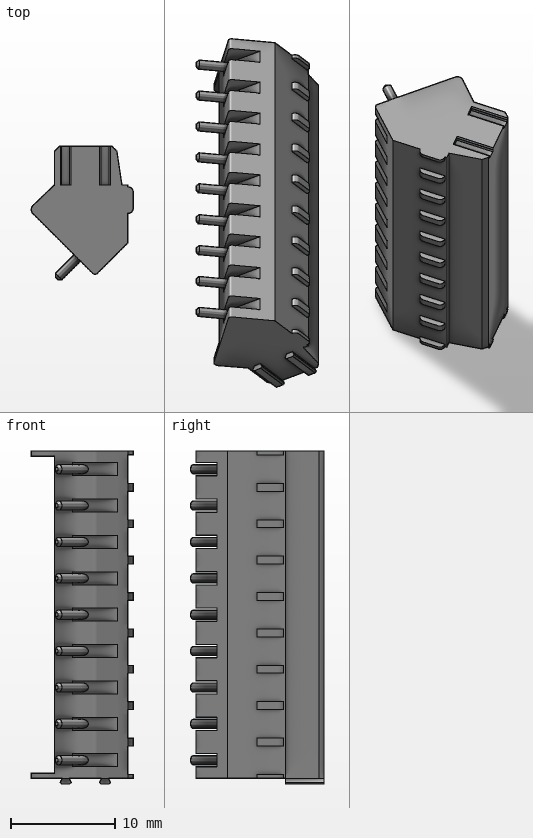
import cadquery as cq
import math

depth = 12.83
height = 32.0

pin_count = 9
body_bottom = 0.55
body_height = height - body_bottom
pitch = body_height / pin_count

tip_x = 6.15
tip_y = 0.4
tip_radius = 0.32
corner_radius = 0.55
corner_x = -corner_radius * (math.sqrt(2) - 1)
corner_y = tip_y + tip_x - corner_x
right_x = 9.3
right_bevel_y = tip_y + right_x - tip_x
plug_left_x = 2.25
shoulder_y = 9.12
plug_root_x = 8.75
plug_end_x = 8.25
plug_chamfer = 0.48

flange_thickness = 0.5

key_reach = 0.5
key_front_y = 6.37
key_back_y = 8.93
key_width = 0.77

slot_width = 1.25
slot_back_y = 2.53

pin_diameter = 0.9
pin_chamfer = 0.25
pin_end_x = 2.45
pin_end_y = 0.13
pin_length = 4.48

rail_left_x = 3.33
rail_spacing = 3.78
rail_root_width = 0.67
rail_wide_width = 1.1
rail_end_width = 0.77
rail_wide_drop = 0.4
groove_mouth_width = 1.02
groove_lip_width = 0.77
groove_lip_drop = 0.13
groove_wide_drop = 0.35
groove_floor_drop = 0.48

body_middle_z = body_bottom + body_height / 2


def make_body():
    outline = [
        (tip_x, tip_y),
        (right_x, right_bevel_y),
        (right_x, shoulder_y),
        (plug_root_x, shoulder_y),
        (plug_end_x, depth - plug_chamfer),
        (plug_end_x - plug_chamfer, depth),
        (plug_left_x + plug_chamfer, depth),
        (plug_left_x, depth - plug_chamfer),
        (plug_left_x, shoulder_y),
        (corner_x, corner_y),
    ]
    body = cq.Workplane("XY", origin=(0, 0, body_bottom)).polyline(outline).close().extrude(body_height)
    body = body.edges(cq.selectors.NearestToPointSelector((tip_x, tip_y, body_middle_z))).fillet(tip_radius)
    corner = cq.selectors.NearestToPointSelector((corner_x, corner_y, body_middle_z))
    return body.edges(corner).fillet(corner_radius)


def make_flange_gap():
    """Space to the left of the plug's left face, between the two end flanges."""
    gap_height = body_height - 2 * flange_thickness
    return (
        cq.Workplane("XY", origin=(0, 0, body_middle_z))
        .box(2 * plug_left_x, depth, gap_height, centered=(True, False, True))
    )


def make_key(bottom_z, top_z):
    key_length = key_back_y - key_front_y
    return (
        cq.Workplane("XY", origin=(right_x - key_reach, key_front_y, bottom_z))
        .box(2 * key_reach, key_length, top_z - bottom_z, centered=False)
        .edges("|Z and >X")
        .fillet(key_reach)
    )


def make_slot(center_z):
    return (
        cq.Workplane("XY", origin=(tip_x, 0, center_z))
        .box(2 * right_x, slot_back_y, slot_width, centered=(True, False, True))
    )


def make_pin(center_z):
    pin_plane = cq.Plane(origin=(pin_end_x, pin_end_y, center_z), xDir=(0, 0, 1), normal=(1, 1, 0))
    return (
        cq.Workplane(pin_plane)
        .circle(pin_diameter / 2)
        .extrude(pin_length)
        .faces("<(1, 1, 0)")
        .chamfer(pin_chamfer)
    )


def make_strip(center_x, top_z, levels):
    """Symmetric strip along Y from the shoulder to the back; levels are (drop below top_z, width)."""
    right_side = [(width / 2, -drop) for drop, width in levels]
    left_side = [(-x, z) for x, z in reversed(right_side)]
    return (
        cq.Workplane("XZ", origin=(center_x, depth, top_z))
        .polyline(right_side + left_side)
        .close()
        .extrude(depth - shoulder_y)
    )


rail_levels = [
    (0, rail_root_width),
    (rail_wide_drop, rail_wide_width),
    (body_bottom, rail_end_width),
]
groove_levels = [
    (0, groove_mouth_width),
    (groove_lip_drop, groove_lip_width),
    (groove_wide_drop, groove_mouth_width),
    (groove_floor_drop, groove_lip_width),
]

result = make_body().cut(make_flange_gap())

for border in range(pin_count + 1):
    border_z = body_bottom + border * pitch
    key_bottom = max(border_z - key_width / 2, body_bottom)
    key_top = min(border_z + key_width / 2, height)
    result = result.union(make_key(key_bottom, key_top))

for row in range(pin_count):
    row_z = body_bottom + (row + 0.5) * pitch
    result = result.cut(make_slot(row_z)).union(make_pin(row_z))

for rail_x in (rail_left_x, rail_left_x + rail_spacing):
    result = result.union(make_strip(rail_x, body_bottom, rail_levels))
    result = result.cut(make_strip(rail_x, height, groove_levels))